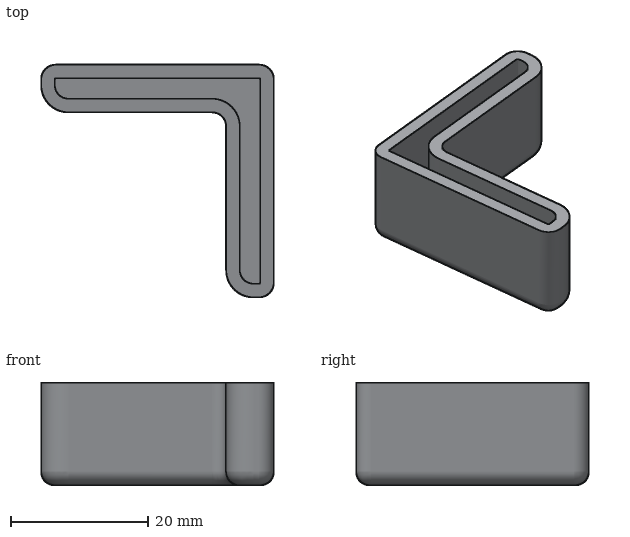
import cadquery as cq

outer_size = 34.0
height = 15.0
wall = 2.0
pocket_width = 3.0
toe_radius = 2.0
root_radius = 4.0
corner_radius = 0.2

floor = wall
bottom_fillet = wall
pocket_leg = outer_size - 2 * wall


def angle_profile(z):
    """Closed L-shaped pocket outline with its heel at the +X, +Y corner."""
    heel = pocket_leg / 2
    tip = -heel
    inner = heel - pocket_width
    return (
        cq.Workplane("XY", origin=(0, 0, z))
        .moveTo(heel - corner_radius, heel)
        .lineTo(tip + corner_radius, heel)
        .radiusArc((tip, heel - corner_radius), -corner_radius)
        .lineTo(tip, inner + toe_radius)
        .radiusArc((tip + toe_radius, inner), -toe_radius)
        .lineTo(inner - root_radius, inner)
        .radiusArc((inner, inner - root_radius), root_radius)
        .lineTo(inner, tip + toe_radius)
        .radiusArc((inner + toe_radius, tip), -toe_radius)
        .lineTo(heel - corner_radius, tip)
        .radiusArc((heel, tip + corner_radius), -corner_radius)
        .lineTo(heel, heel - corner_radius)
        .radiusArc((heel - corner_radius, heel), -corner_radius)
        .close()
    )


body = angle_profile(0).offset2D(wall, "arc").extrude(height)
body = body.faces("<Z").edges().fillet(bottom_fillet)

pocket = angle_profile(floor).extrude(height - floor)

result = body.cut(pocket)